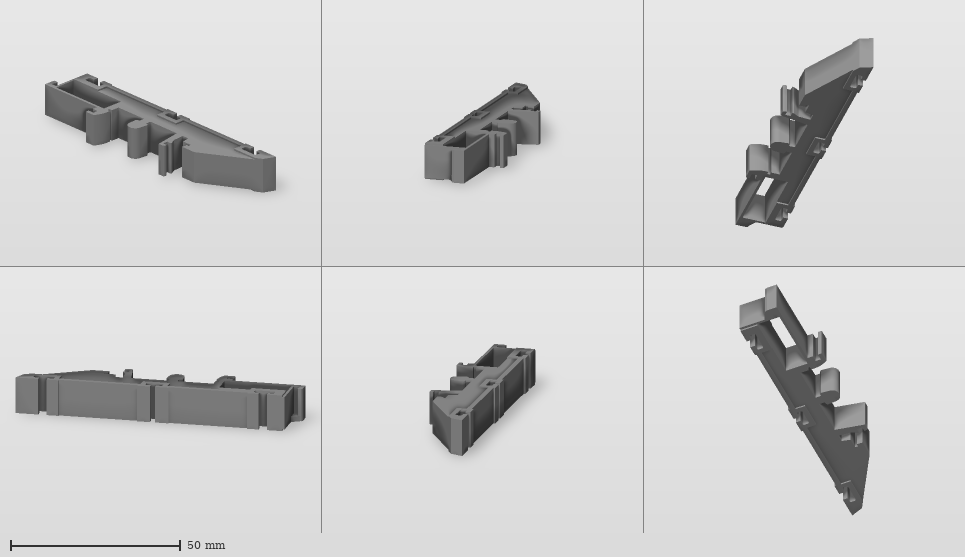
import cadquery as cq


total_height = 11.0
pad_rise = 0.5
body_height = total_height - 2 * pad_rise

length = 85.0
depth = 18.1

wall_left = 3.15
pocket_left = 3.9
pocket_right = 24.4
pocket_rear = -5.6
pocket_front = -12.7
frame_front = -13.5

body_front = -9.1
groove_rear = -11.7
groove_front = pocket_front

cable_slots = [(9.8, 2.55, 6.2), (43.35, 1.5, 5.3), (76.8, 2.55, 6.2)]
neck_depth = 1.5
slot_depth = 3.6
slot_corner_radius = 0.5

rear_recesses = [(14.5, 38.5), (48.0, 72.0)]
recess_depth = 0.5

pad_front_narrow = -2.0
pad_front_wide = -5.1
left_pad_right = 14.45
middle_pad_left = 39.2
middle_pad_right = 47.4
right_pad_left = 72.25

tip_corner = (83.5, -3.8)
right_foot_front = -14.5
slope_start = (65.1, right_foot_front)

left_foot_left = 22.35
left_foot_right = 26.95
notch_rear = -15.2
notch_front = -16.9

plug_centre = 39.3
stem_width = 2.8
plug_rear = -11.0
plug_half_width = 2.55
plug_tip = -16.2


def prism(points, height):
    """Closed XY polygon extruded symmetrically about the mid-plane."""
    return cq.Workplane("XY").polyline(points).close().extrude(height / 2, both=True)


def block(left, right, front, rear, height):
    """Rectangular block from its X and Y limits, centred on the mid-plane."""
    return cq.Workplane("XY").box(right - left, rear - front, height).translate(
        ((left + right) / 2, (front + rear) / 2, 0)
    )


def make_body():
    """Main plate from the left wall to the sloped end, including the right foot."""
    right_foot_left = 59.9
    right_groove_floor = 60.8
    shoulder_front_x = 57.5
    shoulder_rear_x = 56.9
    return prism(
        [
            (wall_left, 0),
            (length, 0),
            tip_corner,
            slope_start,
            (right_foot_left, right_foot_front),
            (right_foot_left, groove_front),
            (right_groove_floor, groove_front),
            (right_groove_floor, groove_rear),
            (shoulder_front_x, groove_rear),
            (shoulder_rear_x, body_front),
            (left_foot_right, body_front),
            (left_foot_right, groove_rear),
            (pocket_right, groove_rear),
            (pocket_right, frame_front),
            (wall_left, frame_front),
        ],
        body_height,
    )


def make_left_foot():
    """Fixed foot with a notch on its left, a rail groove and a bulging flank on its right."""
    groove_floor = 25.9
    toe_right = 25.7
    flank_middle = (26.8, -15.5)
    foot = (
        cq.Workplane("XY")
        .moveTo(left_foot_left, groove_rear)
        .lineTo(groove_floor, groove_rear)
        .lineTo(groove_floor, groove_front)
        .lineTo(left_foot_right, groove_front)
        .threePointArc(flank_middle, (toe_right, -depth))
        .lineTo(left_foot_left, -depth)
        .close()
        .extrude(body_height / 2, both=True)
    )
    notch = block(left_foot_left, pocket_right, notch_front, notch_rear, body_height)
    return foot.cut(notch)


def make_spring_foot():
    """Slanted flexible leg with a notched toe."""
    toe_right = 55.85
    toe_chamfer = 0.3
    toe_left = 53.6
    notch_left = 54.3
    root_left = 51.9
    root_right = 54.6
    barb_start = (54.8, -13.0)
    barb_rear = -14.8
    return prism(
        [
            (root_left, body_front),
            (root_right, body_front),
            barb_start,
            (toe_right, barb_rear),
            (toe_right, notch_rear),
            (notch_left, notch_rear),
            (notch_left, notch_front),
            (toe_right, notch_front),
            (toe_right, -depth + toe_chamfer),
            (toe_right - toe_chamfer, -depth),
            (toe_left, -depth),
        ],
        body_height,
    )


def make_plug():
    """Bulb with tapering flanks and a rounded, slightly flattened tip, carried on a stem."""
    stem = block(
        plug_centre - stem_width / 2, plug_centre + stem_width / 2, plug_rear, body_front, body_height
    )
    shoulder = 0.4
    flank_front = -14.3
    flank_half_width = 2.3
    tip_half_width = 0.25
    arc_middle_x = 1.6
    arc_middle_y = -15.6
    half_bulb = (
        cq.Workplane("XY")
        .moveTo(plug_centre - plug_half_width + shoulder, plug_rear)
        .lineTo(plug_centre - plug_half_width, plug_rear - shoulder)
        .lineTo(plug_centre - flank_half_width, flank_front)
        .threePointArc((plug_centre - arc_middle_x, arc_middle_y), (plug_centre - tip_half_width, plug_tip))
        .lineTo(plug_centre, plug_tip)
        .lineTo(plug_centre, plug_rear)
        .close()
        .extrude(body_height / 2, both=True)
    )
    mirrored_half = half_bulb.mirror("YZ", (plug_centre, 0, 0))
    return stem.union(half_bulb).union(mirrored_half).clean()


def make_latch():
    """Hook at the left end, tied to the wall by a low web at the bottom."""
    hook_rear = -9.7
    hook_thickness = 1.4
    hook_floor = -12.0
    barb_tip = 1.7
    barb_front = -11.05
    lead_in = 0.25
    lead_in_front = -10.45
    web_left = 0.6
    web_rear = -8.2
    web_height = 1.6
    hook = prism(
        [
            (0, frame_front),
            (0, lead_in_front),
            (lead_in, hook_rear),
            (hook_thickness, hook_rear),
            (barb_tip, lead_in_front),
            (hook_thickness, barb_front),
            (hook_thickness, hook_floor),
            (wall_left, hook_floor),
            (wall_left, frame_front),
        ],
        body_height,
    )
    web = (
        cq.Workplane("XY", origin=(0, 0, -body_height / 2))
        .polyline(
            [
                (web_left, hook_rear),
                (wall_left, web_rear),
                (wall_left, hook_floor),
                (web_left, hook_floor),
            ]
        )
        .close()
        .extrude(web_height)
    )
    return hook.union(web)


def make_pads():
    """Stepped rear band that stands proud of the body above and below."""
    tip_x, tip_y = tip_corner
    slope_x, slope_y = slope_start
    slope_run = (slope_x - tip_x) / (slope_y - tip_y)
    right_pad_end = tip_x + slope_run * (pad_front_wide - tip_y)
    return prism(
        [
            (pocket_left, 0),
            (length, 0),
            tip_corner,
            (right_pad_end, pad_front_wide),
            (right_pad_left, pad_front_wide),
            (right_pad_left, pad_front_narrow),
            (middle_pad_right, pad_front_narrow),
            (middle_pad_right, pad_front_wide),
            (middle_pad_left, pad_front_wide),
            (middle_pad_left, pad_front_narrow),
            (left_pad_right, pad_front_narrow),
            (left_pad_right, pocket_rear),
            (pocket_left, pocket_rear),
        ],
        total_height,
    )


def make_cable_slot(centre, neck_width, slot_width):
    """T-shaped cutter: a narrow neck opening into a wide rounded slot."""
    neck = block(centre - neck_width / 2, centre + neck_width / 2, -slot_depth, 0, total_height)
    slot = block(
        centre - slot_width / 2, centre + slot_width / 2, -slot_depth, -neck_depth, total_height
    )
    return neck.union(slot.edges("|Z").fillet(slot_corner_radius))


result = make_body()
for feature in (make_left_foot(), make_spring_foot(), make_plug(), make_latch(), make_pads()):
    result = result.union(feature)

result = result.cut(block(pocket_left, pocket_right, pocket_front, pocket_rear, total_height))

for left, right in rear_recesses:
    result = result.cut(block(left, right, -recess_depth, 0, total_height))

for centre, neck_width, slot_width in cable_slots:
    result = result.cut(make_cable_slot(centre, neck_width, slot_width))